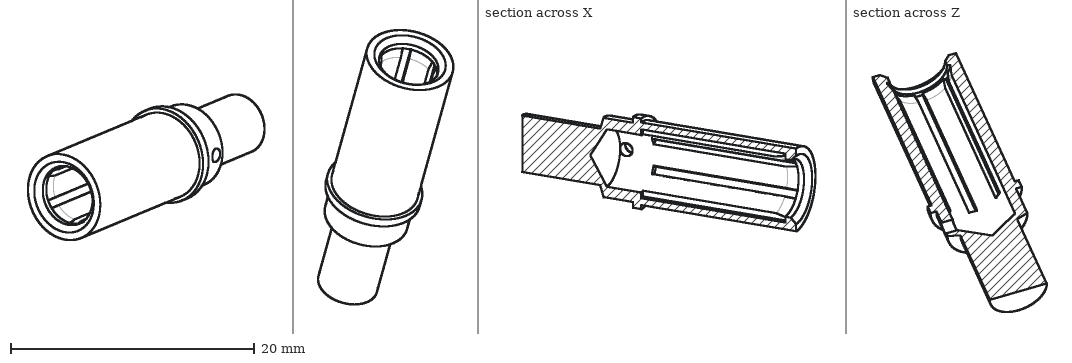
import cadquery as cq
import math

total_length = 25.0
collar_front = 14.12
collar_back = 14.9
shoulder_edge = 17.6
stub_start = 17.9

body_radius = 3.65
collar_radius = 4.0
shoulder_radius = 3.5
stub_radius = 2.5

bore_radius = 2.5
mouth_chamfer = 0.5
lip_end = 2 * mouth_chamfer
flare_radius = 2.75
flare_end = 2.0
drill_point_angle = 118.0

slot_count = 6
slot_width = 0.7
slot_outer_radius = 3.0
first_slot_angle = 30.0

side_hole_diameter = 1.12
side_hole_position = 16.7
bore_end = side_hole_position + side_hole_diameter / 2


def revolve_profile(points):
    """Revolve (radius, axial position) points around the Y axis."""
    return cq.Workplane("XY").polyline(points).close().revolve(360, (0, 0, 0), (0, 1, 0))


def make_outer_body():
    return revolve_profile([
        (0, 0),
        (body_radius, 0),
        (body_radius, collar_front),
        (collar_radius, collar_front),
        (collar_radius, collar_back),
        (shoulder_radius, collar_back),
        (shoulder_radius, shoulder_edge),
        (stub_radius, stub_start),
        (stub_radius, total_length),
        (0, total_length),
    ])


def make_bore():
    """Chamfered lip, tapered lead-in, plain bore and conical bottom."""
    cone_depth = bore_radius / math.tan(math.radians(drill_point_angle / 2))
    return revolve_profile([
        (0, 0),
        (bore_radius + mouth_chamfer, 0),
        (bore_radius, mouth_chamfer),
        (bore_radius, lip_end),
        (flare_radius, lip_end),
        (bore_radius, flare_end),
        (bore_radius, bore_end),
        (0, bore_end + cone_depth),
    ])


def make_slots():
    """Lengthwise slots from the lip back to the collar, with round outer floors."""
    slot_length = collar_front - lip_end
    slots = cq.Workplane("XY")
    for index in range(slot_count):
        slot = (
            cq.Workplane("XY")
            .box(slot_outer_radius, slot_length, slot_width, centered=(False, False, True))
            .translate((0, lip_end, 0))
            .rotate((0, 0, 0), (0, 1, 0), first_slot_angle + index * 360 / slot_count)
        )
        slots = slots.add(slot)
    slots = slots.combine()
    envelope = revolve_profile([
        (0, lip_end),
        (slot_outer_radius, lip_end),
        (slot_outer_radius, collar_front),
        (0, collar_front),
    ])
    return slots.intersect(envelope)


def make_side_hole():
    return (
        cq.Workplane("YZ")
        .center(side_hole_position, 0)
        .circle(side_hole_diameter / 2)
        .extrude(collar_radius)
    )


part = make_outer_body().cut(make_bore()).cut(make_slots()).cut(make_side_hole())

result = part.translate((0, -total_length / 2, 0))